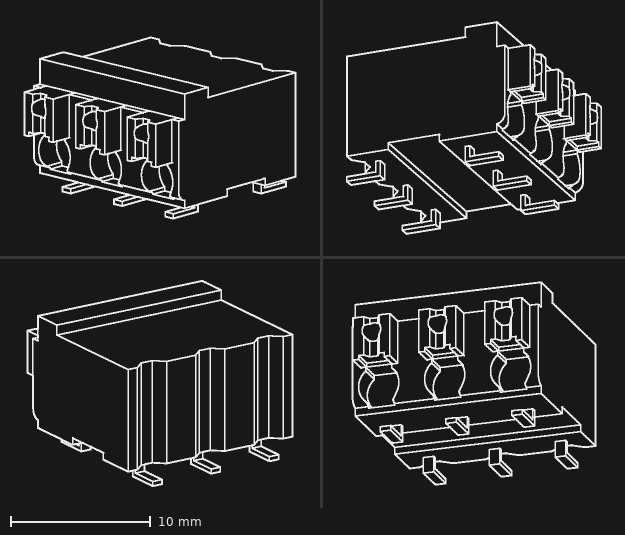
import cadquery as cq


POLE_COUNT = 3
PITCH = 5.0
POLE_POSITIONS = [(i - (POLE_COUNT - 1) / 2) * PITCH for i in range(POLE_COUNT)]

HOUSING_WIDTH = 14.1
HOUSING_DEPTH = 11.68
HOUSING_BOTTOM = 1.18
ROOF_HEIGHT = 8.9
TOP_HEIGHT = 9.65
CROWN_DEPTH = 2.48

RELIEF_START = 4.5
RELIEF_END = 8.47
RELIEF_TOP = 1.7

BAR_PROUD = 0.62
BAR_BOTTOM = 1.75
BAR_TOP = 7.76
BAR_RADIUS = 0.75

NOTCH_MOUTH_WIDTH = 2.5
NOTCH_ROOT_WIDTH = 0.95
NOTCH_DEPTH = 0.71

PUSHER_WIDTH = 2.8
PUSHER_PROUD = 2.32
PUSHER_SEAT_DEPTH = 1.24
PUSHER_BOTTOM = 4.56
PUSHER_HOLE_DIAMETER = 1.4
PUSHER_HOLE_HEIGHT = 6.7
GROOVE_MOUTH_WIDTH = 1.18
GROOVE_ROOT_WIDTH = 0.62
GROOVE_DEPTH = 0.52
UNDERCUT_WIDTH = 1.92
UNDERCUT_HEIGHT = 0.3

OPENING_DIAMETER = 3.05
OPENING_SLOT_WIDTH = 1.98
OPENING_FLOOR = 1.65
OPENING_CENTRE_HEIGHT = (OPENING_FLOOR + PUSHER_BOTTOM) / 2
OPENING_DEPTH = 1.24
OPENING_SHIFT = -0.05

PIN_WIDTH = 0.8
PIN_SHIFT = 0.03
PIN_THICKNESS = 0.35
PIN_FOOT_LENGTH = 2.61
FRONT_PIN_TOE = 0.58
REAR_PIN_TOE = 12.43


def box_between(width, y_start, y_end, z_bottom, z_top):
    """A box centred on X = 0 between the given Y and Z limits."""
    return (
        cq.Workplane("XY")
        .box(width, y_end - y_start, z_top - z_bottom, centered=(True, False, False))
        .translate((0, y_start, z_bottom))
    )


def trapezoid_prism(y_mouth, mouth_width, y_root, root_width, z_bottom, z_top):
    """An upright prism, symmetric about X = 0, that tapers from its mouth to its root."""
    return (
        cq.Workplane("XY")
        .workplane(offset=z_bottom)
        .moveTo(-mouth_width / 2, y_mouth)
        .lineTo(mouth_width / 2, y_mouth)
        .lineTo(root_width / 2, y_root)
        .lineTo(-root_width / 2, y_root)
        .close()
        .extrude(z_top - z_bottom)
    )


def rod_along_y(diameter, height, y_start, y_end):
    """A round rod along Y at X = 0."""
    return (
        cq.Workplane("XZ", origin=(0, y_start, height))
        .circle(diameter / 2)
        .extrude(y_start - y_end)
    )


def pusher_blank():
    """The pusher before it is drilled and grooved, also the shape of its seat in the housing."""
    return box_between(PUSHER_WIDTH, -PUSHER_PROUD, PUSHER_SEAT_DEPTH, PUSHER_BOTTOM, BAR_TOP)


def wire_opening():
    """Blind opening for one wire, through the bar and into the main front wall."""
    bore = rod_along_y(OPENING_DIAMETER, OPENING_CENTRE_HEIGHT, -BAR_PROUD, OPENING_DEPTH)
    slab = box_between(OPENING_DIAMETER, -BAR_PROUD, OPENING_DEPTH, OPENING_FLOOR, PUSHER_BOTTOM)
    slot = box_between(OPENING_SLOT_WIDTH, -BAR_PROUD, OPENING_DEPTH, OPENING_FLOOR, PUSHER_BOTTOM)
    return bore.intersect(slab).union(slot).translate((OPENING_SHIFT, 0, 0))


def make_housing():
    body = box_between(HOUSING_WIDTH, 0, HOUSING_DEPTH, HOUSING_BOTTOM, ROOF_HEIGHT)
    crown = box_between(HOUSING_WIDTH, 0, CROWN_DEPTH, ROOF_HEIGHT, TOP_HEIGHT)
    bar = (
        box_between(HOUSING_WIDTH, -BAR_PROUD, CROWN_DEPTH, BAR_BOTTOM, BAR_TOP)
        .edges("<Y and <Z")
        .fillet(BAR_RADIUS)
    )
    relief = box_between(HOUSING_WIDTH, RELIEF_START, RELIEF_END, HOUSING_BOTTOM, RELIEF_TOP)
    housing = body.union(crown).union(bar).cut(relief)

    rear_notch = trapezoid_prism(
        HOUSING_DEPTH, NOTCH_MOUTH_WIDTH,
        HOUSING_DEPTH - NOTCH_DEPTH, NOTCH_ROOT_WIDTH,
        HOUSING_BOTTOM, ROOF_HEIGHT,
    )
    for x in POLE_POSITIONS:
        for cutter in (pusher_blank(), wire_opening(), rear_notch):
            housing = housing.cut(cutter.translate((x, 0, 0)))
    return housing


def make_pusher(x):
    hole = rod_along_y(PUSHER_HOLE_DIAMETER, PUSHER_HOLE_HEIGHT, -PUSHER_PROUD, PUSHER_SEAT_DEPTH)
    groove = trapezoid_prism(
        -PUSHER_PROUD, GROOVE_MOUTH_WIDTH,
        -PUSHER_PROUD + GROOVE_DEPTH, GROOVE_ROOT_WIDTH,
        PUSHER_BOTTOM, BAR_TOP,
    )
    undercut = box_between(
        UNDERCUT_WIDTH, -PUSHER_PROUD, -BAR_PROUD,
        PUSHER_BOTTOM, PUSHER_BOTTOM + UNDERCUT_HEIGHT,
    )
    return pusher_blank().cut(hole).cut(groove).cut(undercut).translate((x, 0, 0))


def make_pin(x, toe, direction):
    """An L-shaped pin under the housing; direction is +1 or -1, the way its foot points in Y."""
    heel = toe - direction * PIN_FOOT_LENGTH
    leg_front = heel + direction * PIN_THICKNESS
    return (
        cq.Workplane("YZ", origin=(x + PIN_SHIFT, 0, 0))
        .moveTo(heel, 0)
        .lineTo(toe, 0)
        .lineTo(toe, PIN_THICKNESS)
        .lineTo(leg_front, PIN_THICKNESS)
        .lineTo(leg_front, HOUSING_BOTTOM)
        .lineTo(heel, HOUSING_BOTTOM)
        .close()
        .extrude(PIN_WIDTH / 2, both=True)
    )


housing = make_housing()
pushers = [make_pusher(x) for x in POLE_POSITIONS]
front_pins = [make_pin(x, FRONT_PIN_TOE, -1) for x in POLE_POSITIONS]
rear_pins = [make_pin(x, REAR_PIN_TOE, 1) for x in POLE_POSITIONS]

bodies = [housing, *pushers, *front_pins, *rear_pins]
result = cq.Compound.makeCompound([body.val() for body in bodies])